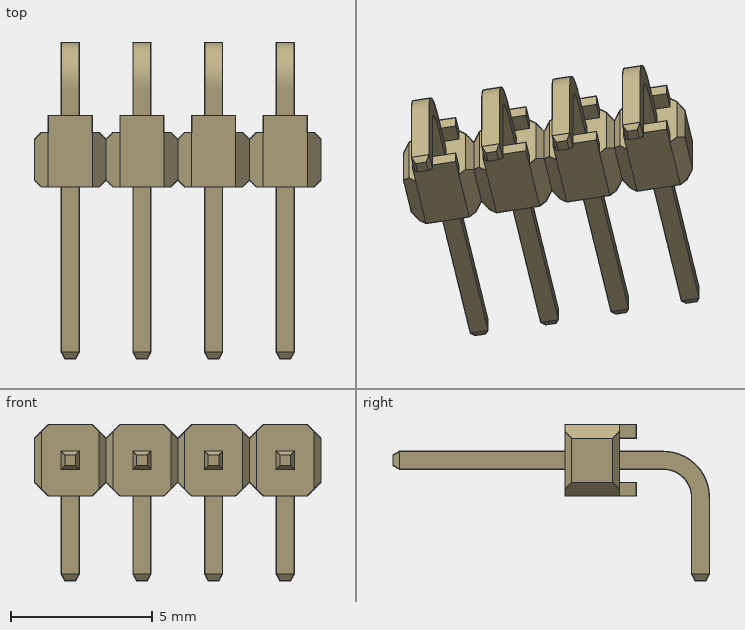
import cadquery as cq


position_count = 4
pitch = 2.54

cell_height = pitch
cell_depth = pitch
corner_cut = 0.49
side_edge_cut = corner_cut / 2
slot_depth = 0.60
slot_height = cell_height - 2 * corner_cut
flank_depth = cell_depth - slot_depth

pin_width = 0.64
front_reach = 6.09
rear_reach = 2.59
leg_drop = 4.27
bend_inner_radius = 1.0
bend_outer_radius = bend_inner_radius + pin_width
tip_length = 0.24
tip_inset = 0.13

half_pin = pin_width / 2
leg_rear_y = cell_depth + rear_reach
leg_front_y = leg_rear_y - pin_width
front_shoulder_y = -front_reach + tip_length
leg_shoulder_z = -leg_drop + tip_length


def make_housing_cell():
    """Octagonal cell with chamfered flanks and a slot across its rear face."""
    flanks = (
        cq.Workplane("XZ")
        .rect(pitch, cell_height)
        .extrude(-flank_depth)
        .edges("|Y")
        .chamfer(corner_cut)
    )
    depth_outline = (
        cq.Workplane("XY")
        .rect(pitch, flank_depth)
        .extrude(cell_height / 2, both=True)
        .edges("|Z")
        .chamfer(side_edge_cut)
        .translate((0, flank_depth / 2, 0))
    )
    flanks = flanks.intersect(depth_outline)

    core_width = pitch - 2 * corner_cut
    core = cq.Workplane("XZ").rect(core_width, cell_height).extrude(-cell_depth)
    slot = (
        cq.Workplane("XZ", origin=(0, flank_depth, 0))
        .rect(core_width, slot_height)
        .extrude(-slot_depth)
    )
    return flanks.union(core.cut(slot))


def make_tip(base_plane):
    """Square frustum standing on the given plane."""
    end_width = pin_width - 2 * tip_inset
    return (
        cq.Workplane(base_plane)
        .rect(pin_width, pin_width)
        .workplane(offset=tip_length)
        .rect(end_width, end_width)
        .loft(ruled=True)
    )


def make_pin():
    """Square pin running back along Y, then bent down, tapered at both ends."""
    bend_y = leg_rear_y - bend_outer_radius
    shank = (
        cq.Workplane("YZ")
        .moveTo(front_shoulder_y, half_pin)
        .lineTo(bend_y, half_pin)
        .radiusArc((leg_rear_y, half_pin - bend_outer_radius), bend_outer_radius)
        .lineTo(leg_rear_y, leg_shoulder_z)
        .lineTo(leg_front_y, leg_shoulder_z)
        .lineTo(leg_front_y, -half_pin - bend_inner_radius)
        .radiusArc((bend_y, -half_pin), -bend_inner_radius)
        .lineTo(front_shoulder_y, -half_pin)
        .close()
        .extrude(half_pin, both=True)
    )
    leg_center_y = (leg_front_y + leg_rear_y) / 2
    front_plane = cq.Plane(origin=(0, front_shoulder_y, 0), xDir=(1, 0, 0), normal=(0, -1, 0))
    leg_plane = cq.Plane(origin=(0, leg_center_y, leg_shoulder_z), xDir=(1, 0, 0), normal=(0, 0, -1))
    return shank.union(make_tip(front_plane)).union(make_tip(leg_plane))


def make_header_position(center_x):
    """One complete position: a housing cell joined to its pin."""
    return make_housing_cell().union(make_pin()).translate((center_x, 0, 0))


first_x = -pitch * (position_count - 1) / 2
header_positions = [make_header_position(first_x + index * pitch) for index in range(position_count)]

result = cq.Compound.makeCompound([position.solids().val() for position in header_positions])